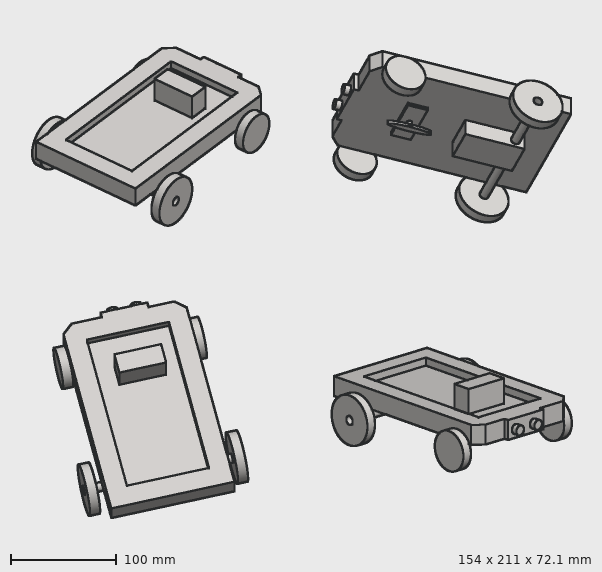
import cadquery as cq


overall_length = 211.0
chassis_width = 120.0
chassis_length = 200.0
chassis_height = 20.0
nose_chamfer_x = 10.1
nose_chamfer_y = 9.0

tray_margin = 20.0
tray_depth = 8.0
tray_floor_z = chassis_height - tray_depth

module_width = 45.5
module_offset_x = 2.3

sensor_projection = 4.9
eye_diameter = 10.0
eye_length = overall_length - chassis_length - sensor_projection
eye_spacing = 23.2
eye_offset_x = 3.5
eye_z = 8.9

front_wheel_diameter = 40.0
wheel_thickness = 10.0
front_wheel_y = 171.1
front_wheel_z = -9.0

overall_width = 154.0
rear_wheel_diameter = 50.0
axle_diameter = 8.9
axle_y = 40.0
axle_z = -10.1
rear_wheel_inner_x = overall_width / 2 - wheel_thickness
motor_width = 33.8
motor_height = 18.0
motor_front_y = 90.7
motor_length = 60.0

servo_depth = 20.0
servo_y = 140.0
servo_above_chassis = 17.0
servo_below_chassis = 3.0
servo_height = servo_below_chassis + chassis_height + servo_above_chassis
servo_shaft_diameter = 5.3
servo_shaft_length = 4.6
horn_half_length = 22.0
horn_half_width = 3.2
horn_thickness = 3.5


def x_disc(diameter, start_x, length, y, z):
    """Cylinder along +X that starts at start_x."""
    return cq.Workplane("YZ", origin=(start_x, y, z)).circle(diameter / 2).extrude(length)


def servo_case():
    """Servo block that passes down through the tray floor."""
    return (
        cq.Workplane("XY", origin=(module_offset_x, servo_y, -servo_below_chassis))
        .rect(module_width, servo_depth)
        .extrude(servo_height)
    )


def chassis_plate():
    """Flat body with bevelled nose corners and the recessed tray."""
    side_x = chassis_width / 2
    nose_x = side_x - nose_chamfer_x
    bevel_y = chassis_length - nose_chamfer_y
    outline = [
        (-side_x, 0),
        (side_x, 0),
        (side_x, bevel_y),
        (nose_x, chassis_length),
        (-nose_x, chassis_length),
        (-side_x, bevel_y),
    ]
    plate = cq.Workplane("XY").polyline(outline).close().extrude(chassis_height)
    tray = (
        cq.Workplane("XY", origin=(0, chassis_length / 2, tray_floor_z))
        .rect(chassis_width - 2 * tray_margin, chassis_length - 2 * tray_margin)
        .extrude(tray_depth)
    )
    return plate.cut(tray)


def distance_sensor():
    """Sensor block across the nose with two round eyes facing forward."""
    block = cq.Workplane("XY", origin=(module_offset_x, chassis_length, 0)).box(
        module_width, sensor_projection, chassis_height, centered=(True, False, False)
    )
    eyes = (
        cq.Workplane("XZ", origin=(eye_offset_x, chassis_length + sensor_projection, eye_z))
        .pushPoints([(-eye_spacing / 2, 0), (eye_spacing / 2, 0)])
        .circle(eye_diameter / 2)
        .extrude(-eye_length)
    )
    return block.union(eyes)


def make_chassis():
    """Chassis with its nose sensor, fixed front wheels and servo opening."""
    body = chassis_plate().union(distance_sensor())
    for start_x in (-chassis_width / 2 - wheel_thickness, chassis_width / 2):
        body = body.union(
            x_disc(front_wheel_diameter, start_x, wheel_thickness, front_wheel_y, front_wheel_z)
        )
    return body.cut(servo_case())


def make_servo():
    """Servo case with its output shaft and elliptical horn below."""
    shaft = (
        cq.Workplane("XY", origin=(module_offset_x, servo_y, -servo_below_chassis))
        .circle(servo_shaft_diameter / 2)
        .extrude(-servo_shaft_length)
    )
    horn = (
        cq.Workplane("XY", origin=(module_offset_x, servo_y, -servo_below_chassis - servo_shaft_length))
        .ellipse(horn_half_width, horn_half_length)
        .extrude(-horn_thickness)
    )
    return servo_case().union(shaft).union(horn)


def make_drive():
    """Motor block under the chassis with the rear axle through it."""
    motor = cq.Workplane("XY", origin=(0, motor_front_y - motor_length, -motor_height)).box(
        motor_width, motor_length, motor_height, centered=(True, False, False)
    )
    axle = x_disc(axle_diameter, -rear_wheel_inner_x, 2 * rear_wheel_inner_x, axle_y, axle_z)
    return motor.union(axle)


def make_rear_wheel(start_x):
    """Plain wheel with an axle-sized bore; the axle ends at its inner face."""
    wheel = x_disc(rear_wheel_diameter, start_x, wheel_thickness, axle_y, axle_z)
    bore = x_disc(axle_diameter, start_x, wheel_thickness, axle_y, axle_z)
    return wheel.cut(bore)


chassis = make_chassis()
servo = make_servo()
drive = make_drive()
rear_wheels = [
    make_rear_wheel(start_x) for start_x in (-overall_width / 2, rear_wheel_inner_x)
]

result = cq.Compound.makeCompound(
    [chassis.val(), servo.val(), drive.val(), *[wheel.val() for wheel in rear_wheels]]
)